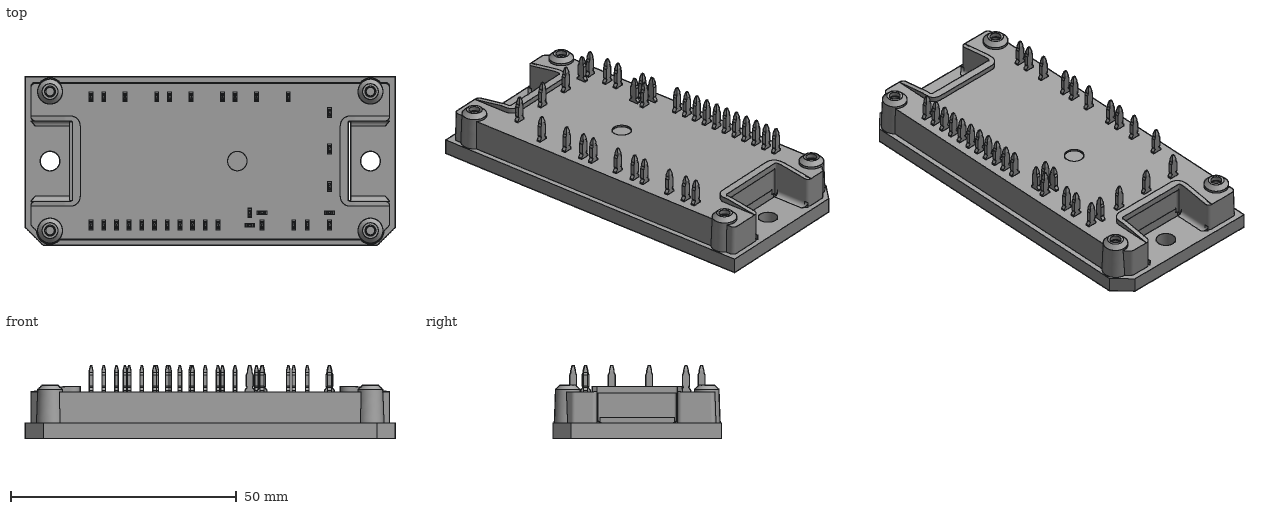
import cadquery as cq
import math

PLATE_LENGTH = 82.0
PLATE_WIDTH = 37.4
PLATE_THICKNESS = 3.5
PLATE_CHAMFER = 4.0
MOUNT_HOLE_DIAMETER = 4.3
MOUNT_HOLE_X = 35.5

DRAFT = math.radians(2.0)
COVER_LENGTH = 79.5
COVER_BASE_WIDTH = 34.9
COVER_TOP_Z = 10.4
COVER_CHAMFER = 3.25
COVER_CORNER_RADIUS = 1.0
MARK_X = 6.0
MARK_DIAMETER = 4.3
MARK_DEPTH = 0.4

RECESS_HALF_WIDTH = 8.9
RECESS_BACK_X = 30.6
RECESS_MOUTH_RADIUS = 1.0
RECESS_CORNER_RADIUS = 0.4
UNDERCUT_DEPTH = 0.5
UNDERCUT_HALF_WIDTH = 8.65
UNDERCUT_CORNER_RADIUS = 0.4
UNDERCUT_TOP_Z = 10.1
FLOOR_FILLET = 1.16

RIM_TOP_Z = 11.6
RIM_HALF_WIDTH = 10.0
RIM_BACK_X = 28.8
RIM_CORNER_RADIUS = 2.2
RIM_BEND_START_X = 31.85
RIM_BEND_END_X = 32.35

SLOT_OUTER_X = 31.1
SLOT_HALF_LENGTH = 8.7

POST_X = MOUNT_HOLE_X
POST_Y = 15.4
POST_TOP_Z = 11.9
POST_SHOULDER_RADIUS = 2.75
POST_CHAMFER = 1.0
POST_BORE_DIAMETER = 2.4
POST_BORE_DEPTH = 1.0
POST_PILOT_DIAMETER = 1.9
POST_PILOT_DEPTH = 5.0

PIN_TOP_Z = 16.23
PIN_THICKNESS = 0.85
PIN_TIP_THICKNESS = 0.3
PIN_TIP_START_Z = 15.1
PIN_HALF_PROFILE = [
    (1.1, COVER_TOP_Z),
    (1.1, 10.7),
    (0.6, 11.4),
    (0.78, 11.7),
    (0.78, 14.1),
    (0.55, 14.7),
    (0.55, PIN_TIP_START_Z),
    (0.25, PIN_TOP_Z),
]
FRONT_ROW_Y = -14.2
BACK_ROW_Y = 14.25
PIN_INNER_ROW_Y = -11.45
PIN_COLUMN_X = 26.4
FRONT_ROW_COUNT = 11
FRONT_ROW_PITCH = 2.81
BACK_ROW_X = [-26.4, -23.6, -18.9, -11.85, -9.05, -4.3, 2.7, 5.5, 10.25, 17.3]
FRONT_SINGLES_X = [18.5, 21.5]
RIGHT_COLUMN_Y = [10.8, 2.65, -5.65]
PIN_PAIR_X = (8.75, 11.5)

lengthwise_pins = [(-PIN_COLUMN_X + i * FRONT_ROW_PITCH, FRONT_ROW_Y) for i in range(FRONT_ROW_COUNT)]
lengthwise_pins += [(x, FRONT_ROW_Y) for x in [PIN_PAIR_X[1], *FRONT_SINGLES_X, PIN_COLUMN_X]]
lengthwise_pins += [(x, BACK_ROW_Y) for x in BACK_ROW_X]
lengthwise_pins += [(PIN_COLUMN_X, y) for y in RIGHT_COLUMN_Y]
lengthwise_pins += [(PIN_PAIR_X[0], PIN_INNER_ROW_Y)]

crosswise_pins = [
    (PIN_PAIR_X[0], FRONT_ROW_Y),
    (PIN_PAIR_X[1], PIN_INNER_ROW_Y),
    (PIN_COLUMN_X, PIN_INNER_ROW_Y),
]

END_X = COVER_LENGTH / 2
FILLET_TOP_Z = PLATE_THICKNESS + FLOOR_FILLET


def box(x_range, y_range, z_range):
    """Axis-aligned block between pairs of coordinates."""
    sizes = [high - low for low, high in (x_range, y_range, z_range)]
    corner = (x_range[0], y_range[0], z_range[0])
    return cq.Workplane("XY").box(*sizes, centered=False).translate(corner)


def both_ends(shape):
    """The +X feature together with its mirror image at the -X end."""
    return shape.union(shape.mirror("YZ"))


def make_pedestal():
    """Low core on the plate, its ends flush with the undercut back walls of the recesses."""
    half_length = RECESS_BACK_X - UNDERCUT_DEPTH
    half_width = UNDERCUT_HALF_WIDTH - UNDERCUT_CORNER_RADIUS
    return box(
        (-half_length, half_length),
        (-half_width, half_width),
        (PLATE_THICKNESS, FILLET_TOP_Z),
    )


def make_plate():
    plate = (
        box(
            (-PLATE_LENGTH / 2, PLATE_LENGTH / 2),
            (-PLATE_WIDTH / 2, PLATE_WIDTH / 2),
            (0, PLATE_THICKNESS),
        )
        .edges("|Z and <Y")
        .chamfer(PLATE_CHAMFER)
    )
    slot = box(
        (RECESS_BACK_X - UNDERCUT_DEPTH, SLOT_OUTER_X),
        (-SLOT_HALF_LENGTH, SLOT_HALF_LENGTH),
        (0, PLATE_THICKNESS),
    )
    mount_hole = (
        cq.Workplane("XY").center(MOUNT_HOLE_X, 0).circle(MOUNT_HOLE_DIAMETER / 2).extrude(PLATE_THICKNESS)
    )
    return plate.cut(both_ends(slot.union(mount_hole))).union(make_pedestal())


def make_block():
    """Main block of the cover: long walls leaning inward, front corners chamfered, end corners rounded."""
    half_base = COVER_BASE_WIDTH / 2
    half_top = half_base - (COVER_TOP_Z - PLATE_THICKNESS) * math.tan(DRAFT)
    block = (
        cq.Workplane("YZ")
        .polyline([
            (-half_base, PLATE_THICKNESS),
            (half_base, PLATE_THICKNESS),
            (half_top, COVER_TOP_Z),
            (-half_top, COVER_TOP_Z),
        ])
        .close()
        .extrude(COVER_LENGTH / 2, both=True)
    )
    chamfer_end = half_base - COVER_CHAMFER
    corner_cut = (
        cq.Workplane("XY")
        .polyline([
            (END_X, -half_base),
            (END_X, -chamfer_end),
            (END_X - COVER_CHAMFER, -half_base),
        ])
        .close()
        .extrude(COVER_TOP_Z)
    )
    block = block.cut(both_ends(corner_cut))
    end_corners = block.faces("<X or >X").edges("not #Z")
    return end_corners.fillet(COVER_CORNER_RADIUS)


def make_rim():
    """Rim blank over the +X recess: flat at the back, sloping down to the cover at the mouth."""
    height = RIM_TOP_Z - COVER_TOP_Z
    bend_middle = (RIM_BEND_START_X + RIM_BEND_END_X) / 2
    slope = height / (END_X - bend_middle)
    bend_end_z = RIM_TOP_Z - slope * (RIM_BEND_END_X - bend_middle)
    side = (
        cq.Workplane("XZ")
        .moveTo(END_X, COVER_TOP_Z)
        .lineTo(RIM_BACK_X, COVER_TOP_Z)
        .lineTo(RIM_BACK_X, RIM_TOP_Z)
        .lineTo(RIM_BEND_START_X, RIM_TOP_Z)
        .tangentArcPoint((RIM_BEND_END_X, bend_end_z), relative=False)
        .close()
        .extrude(RIM_HALF_WIDTH, both=True)
    )
    return side.edges("|Z and <X").fillet(RIM_CORNER_RADIUS)


def make_recess():
    """Cutter for the +X recess: straight above, undercut below the rim, flared round at the mouth."""
    r = RECESS_MOUTH_RADIUS
    tangent_x = END_X - r
    flare_y = RECESS_HALF_WIDTH + r
    arc_offset = r * (1 - math.sqrt(0.5))
    upper = (
        cq.Workplane("XY")
        .workplane(offset=PLATE_THICKNESS)
        .moveTo(RECESS_BACK_X, -RECESS_HALF_WIDTH)
        .lineTo(tangent_x, -RECESS_HALF_WIDTH)
        .threePointArc((END_X - arc_offset, -RECESS_HALF_WIDTH - arc_offset), (END_X, -flare_y))
        .lineTo(END_X, flare_y)
        .threePointArc((END_X - arc_offset, RECESS_HALF_WIDTH + arc_offset), (tangent_x, RECESS_HALF_WIDTH))
        .lineTo(RECESS_BACK_X, RECESS_HALF_WIDTH)
        .close()
        .extrude(RIM_TOP_Z - PLATE_THICKNESS)
    )
    upper = upper.edges("|Z and <X").fillet(RECESS_CORNER_RADIUS)
    undercut = box(
        (RECESS_BACK_X - UNDERCUT_DEPTH, SLOT_OUTER_X),
        (-UNDERCUT_HALF_WIDTH, UNDERCUT_HALF_WIDTH),
        (PLATE_THICKNESS, UNDERCUT_TOP_Z),
    )
    undercut = undercut.edges("|Z and <X").fillet(UNDERCUT_CORNER_RADIUS)
    return upper.union(undercut)


def make_floor_fillets():
    """Concave strips along the foot of both side walls of the +X recess, mitred at the mouth."""
    toe_y = RECESS_HALF_WIDTH - FLOOR_FILLET
    arc_offset = FLOOR_FILLET * math.sqrt(0.5)
    strip = (
        cq.Workplane("YZ")
        .workplane(offset=SLOT_OUTER_X)
        .moveTo(RECESS_HALF_WIDTH, PLATE_THICKNESS)
        .lineTo(RECESS_HALF_WIDTH, FILLET_TOP_Z)
        .threePointArc((toe_y + arc_offset, FILLET_TOP_Z - arc_offset), (toe_y, PLATE_THICKNESS))
        .close()
        .extrude(END_X - SLOT_OUTER_X)
    )
    mitre = (
        cq.Workplane("XY")
        .polyline([
            (END_X - RECESS_MOUTH_RADIUS, toe_y),
            (END_X, toe_y),
            (END_X, RECESS_HALF_WIDTH),
        ])
        .close()
        .extrude(FILLET_TOP_Z)
    )
    strip = strip.cut(mitre)
    return strip.union(strip.mirror("XZ"))


def make_post():
    """Drafted corner post with a conical shoulder."""
    shoulder_z = POST_TOP_Z - POST_CHAMFER
    foot_radius = POST_SHOULDER_RADIUS + (shoulder_z - PLATE_THICKNESS) * math.tan(DRAFT)
    return (
        cq.Workplane("XZ")
        .polyline([
            (0, PLATE_THICKNESS),
            (foot_radius, PLATE_THICKNESS),
            (POST_SHOULDER_RADIUS, shoulder_z),
            (POST_SHOULDER_RADIUS - POST_CHAMFER, POST_TOP_Z),
            (0, POST_TOP_Z),
        ])
        .close()
        .revolve(360, (0, 0, 0), (0, 1, 0))
    )


def make_post_bore():
    """Blind stepped screw hole in a post."""
    top = cq.Workplane("XY").workplane(offset=POST_TOP_Z)
    bore = top.circle(POST_BORE_DIAMETER / 2).extrude(-POST_BORE_DEPTH)
    return bore.union(top.circle(POST_PILOT_DIAMETER / 2).extrude(-POST_PILOT_DEPTH))


def make_pin():
    """Press-fit pin on the cover top, its blade wide along X and narrowing both ways to the tip."""
    mirrored = [(-half_width, z) for half_width, z in reversed(PIN_HALF_PROFILE)]
    blade = (
        cq.Workplane("XZ").polyline(PIN_HALF_PROFILE + mirrored).close().extrude(PIN_THICKNESS / 2, both=True)
    )
    half = PIN_THICKNESS / 2
    half_tip = PIN_TIP_THICKNESS / 2
    tip_envelope = (
        cq.Workplane("YZ")
        .polyline([
            (-half, COVER_TOP_Z),
            (half, COVER_TOP_Z),
            (half, PIN_TIP_START_Z),
            (half_tip, PIN_TOP_Z),
            (-half_tip, PIN_TOP_Z),
            (-half, PIN_TIP_START_Z),
        ])
        .close()
        .extrude(PIN_HALF_PROFILE[0][0], both=True)
    )
    return blade.intersect(tip_envelope)


def make_cover():
    cover = make_block().union(both_ends(make_rim()))
    cover = cover.cut(both_ends(make_recess()))
    cover = cover.union(both_ends(make_floor_fillets()))
    post_places = [(x, y, 0) for x in (-POST_X, POST_X) for y in (-POST_Y, POST_Y)]
    for place in post_places:
        cover = cover.union(make_post().translate(place)).cut(make_post_bore().translate(place))
    mark = cq.Workplane("XY").workplane(offset=COVER_TOP_Z).center(MARK_X, 0)
    cover = cover.cut(mark.circle(MARK_DIAMETER / 2).extrude(-MARK_DEPTH))
    cover = cover.cut(make_pedestal())
    crosswise_pin = make_pin()
    lengthwise_pin = crosswise_pin.rotate((0, 0, 0), (0, 0, 1), 90)
    for x, y in crosswise_pins:
        cover = cover.union(crosswise_pin.translate((x, y, 0)))
    for x, y in lengthwise_pins:
        cover = cover.union(lengthwise_pin.translate((x, y, 0)))
    return cover


plate = make_plate()
cover = make_cover()

result = cq.Compound.makeCompound([plate.val(), cover.val()])